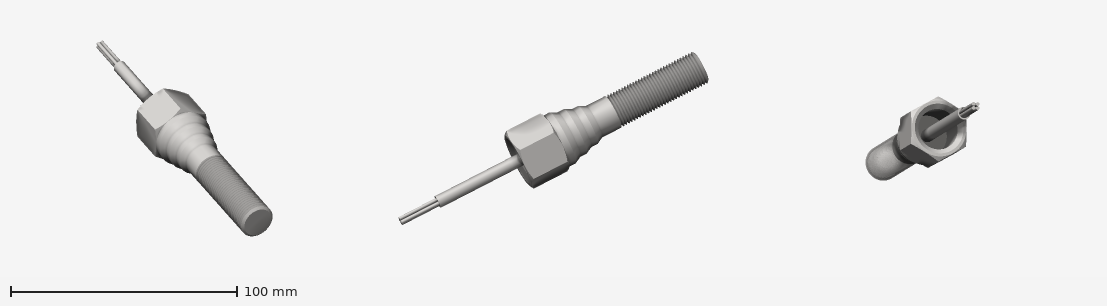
import cadquery as cq
import math


across_flats = 25.4
head_length = 19.3
taper_length = 19.0
taper_levels = 3
shank_radius = 7.9
thread_end = 92.2
thread_length = 43.2
tip_length = 1.0
thread_crests = 31
thread_depth = 1.13

hex_chamfer_angle = 30
hex_chamfer_radius = 12.5

mouth_radius = 11.2
bore_radius = 9.0
countersink_depth = 2.0

sheath_radius = 2.9
sheath_bore_radius = 2.3
sheath_reach = 40.2
wire_reach = 18.7
wire_radius = 0.83
wire_spacing = 1.8

corner_radius = across_flats / math.sqrt(3)
taper_start = head_length
taper_end = taper_start + taper_length
band_length = taper_length / (2 * taper_levels)
taper_radius = across_flats / 2
radius_step = (taper_radius - shank_radius) / taper_levels
thread_start = thread_end - tip_length - thread_length
thread_pitch = thread_length / thread_crests
thread_root_radius = shank_radius - thread_depth
bore_depth = head_length
sheath_end = -sheath_reach


def revolve_about_x(outline_points):
    """Turn an outline of (x, radius) points into a solid around the X axis."""
    outline = cq.Workplane("XZ").polyline(outline_points).close()
    return outline.revolve(360, (0, 0, 0), (1, 0, 0))


def rod_along_x(start, length, radius, y=0, z=0):
    return cq.Workplane("YZ", origin=(start, y, z)).circle(radius).extrude(length)


def make_hex_head():
    """Hexagon with corners at +Z and -Z, its corners chamfered at both ends."""
    corner_diameter = 2 * corner_radius
    prism = (
        cq.Workplane("YZ")
        .transformed(rotate=(0, 0, 90))
        .polygon(6, corner_diameter)
        .extrude(head_length)
    )
    chamfer_width = corner_radius - hex_chamfer_radius
    chamfer_length = chamfer_width * math.tan(math.radians(hex_chamfer_angle))
    envelope = revolve_about_x([
        (0, 0),
        (0, hex_chamfer_radius),
        (chamfer_length, corner_radius),
        (head_length - chamfer_length, corner_radius),
        (head_length, hex_chamfer_radius),
        (head_length, 0),
    ])
    return prism.intersect(envelope)


def make_taper():
    """Straight bands that step down to the shank through short cones."""
    outline = [(taper_start, 0)]
    for level in range(taper_levels):
        band_start = taper_start + 2 * level * band_length
        band_radius = taper_radius - level * radius_step
        outline.append((band_start, band_radius))
        outline.append((band_start + band_length, band_radius))
    outline += [(taper_end, shank_radius), (taper_end, 0)]
    return revolve_about_x(outline)


def make_threaded_shank():
    """Plain shank, then V-shaped ring grooves that end on a root at the tip."""
    outline = [(taper_end, 0), (taper_end, shank_radius), (thread_start, shank_radius)]
    for crest in range(1, thread_crests + 1):
        crest_place = thread_start + crest * thread_pitch
        outline.append((crest_place - thread_pitch / 2, thread_root_radius))
        outline.append((crest_place, shank_radius))
    outline += [(thread_end, thread_root_radius), (thread_end, 0)]
    return revolve_about_x(outline)


def make_bore():
    """Blind bore with a countersunk mouth."""
    return revolve_about_x([
        (0, 0),
        (0, mouth_radius),
        (countersink_depth, bore_radius),
        (bore_depth, bore_radius),
        (bore_depth, 0),
    ])


def make_housing():
    outside = make_hex_head().union(make_taper()).union(make_threaded_shank())
    return outside.cut(make_bore())


def make_sheath():
    """Cable sheath, a tube that stands on the floor of the bore."""
    length = sheath_reach + bore_depth
    outside = rod_along_x(sheath_end, length, sheath_radius)
    return outside.cut(rod_along_x(sheath_end, length, sheath_bore_radius))


def make_wires():
    """Four separate wires in a square, running through the sheath to the bore floor."""
    wires = []
    start = sheath_end - wire_reach
    length = bore_depth - start
    offset = wire_spacing / 2
    for y in (-offset, offset):
        for z in (-offset, offset):
            wires.append(rod_along_x(start, length, wire_radius, y, z))
    return wires


housing = make_housing()
sheath = make_sheath()
wires = make_wires()

result = cq.Compound.makeCompound(
    [housing.val(), sheath.val(), *[wire.val() for wire in wires]]
)